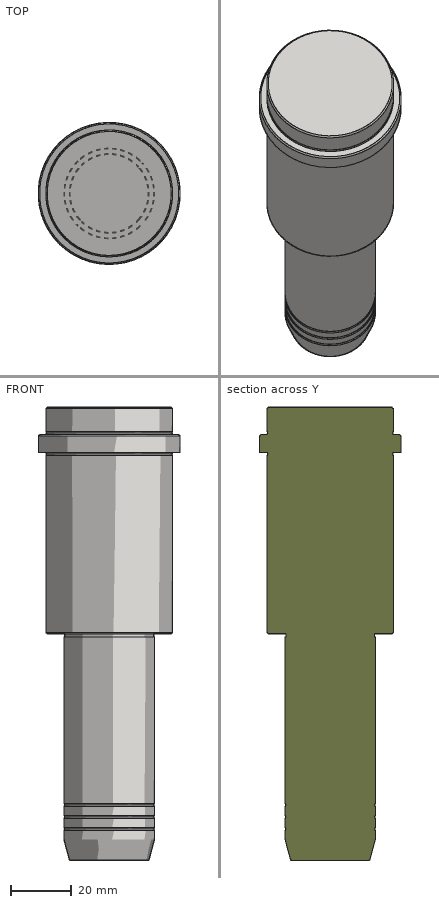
import cadquery as cq
import math

total_height = 150.0
flange_top = 141.0
flange_height = 6.0
flange_bottom = flange_top - flange_height
body_bottom = 75.0

flange_radius = 47.0 / 2
body_radius = 42.0 / 2
shank_radius = 30.0 / 2

edge_chamfer = 0.5

neck_height = 1.0
neck_depth = 0.25

tip_height = 7.0
tip_angle = 15.0
tip_edge_chamfer = 0.3

groove_width = 1.0
groove_depth = 0.25
shank_groove_count = 3
first_groove_bottom = 10.0
groove_pitch = 4.0


def disc(radius, bottom, top):
    """Cylinder on the Z axis between two heights."""
    return cq.Workplane("XY").workplane(offset=bottom).circle(radius).extrude(top - bottom)


def vee_groove(radius, bottom):
    """Ring to cut: a V-groove in a cylinder of the given radius."""
    profile = (
        cq.Workplane("XZ")
        .moveTo(radius, bottom)
        .lineTo(radius - groove_depth, bottom + groove_width / 2)
        .lineTo(radius, bottom + groove_width)
        .close()
    )
    return profile.revolve(360, (0, 0, 0), (0, 1, 0))


def make_head():
    """Upper body with its flange."""
    body = disc(body_radius, body_bottom, total_height)
    body = body.faces(">Z").chamfer(edge_chamfer)
    body = body.faces("<Z").chamfer(edge_chamfer)
    body = body.cut(vee_groove(body_radius, flange_top))
    body = body.cut(vee_groove(body_radius, flange_bottom - groove_width))
    flange = disc(flange_radius, flange_bottom, flange_top).faces(">Z").chamfer(edge_chamfer)
    return body.union(flange)


def make_shank():
    """Slender lower pin with its tapered tip, grooves and undercut."""
    tip_radius = shank_radius - (tip_height - tip_edge_chamfer) * math.tan(math.radians(tip_angle))
    profile = (
        cq.Workplane("XZ")
        .lineTo(tip_radius - tip_edge_chamfer, 0)
        .lineTo(tip_radius, tip_edge_chamfer)
        .lineTo(shank_radius, tip_height)
        .lineTo(shank_radius, body_bottom)
        .lineTo(0, body_bottom)
        .close()
    )
    shank = profile.revolve(360, (0, 0, 0), (0, 1, 0))
    for index in range(shank_groove_count):
        shank = shank.cut(vee_groove(shank_radius, first_groove_bottom + index * groove_pitch))
    neck_bottom = body_bottom - neck_height
    shank_ring = disc(shank_radius, neck_bottom, body_bottom)
    neck = disc(shank_radius - neck_depth, neck_bottom, body_bottom)
    return shank.cut(shank_ring.cut(neck))


result = make_head().union(make_shank())